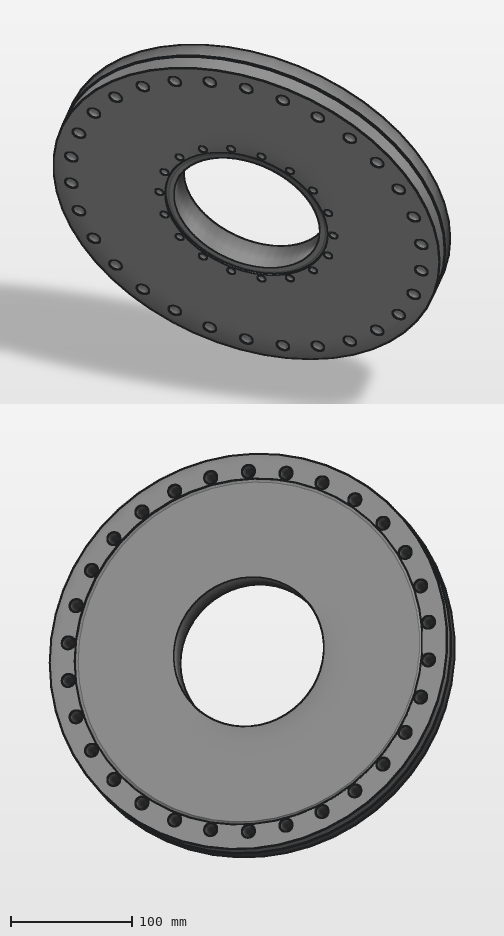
import cadquery as cq
import math

OUTER_DIAMETER = 336.5
THICKNESS = 28.3
BORE_DIAMETER = 127.0
RIM_CHAMFER = 0.5
FRONT_Y = -THICKNESS / 2
BACK_Y = THICKNESS / 2

GROOVE_WIDTH = 1.7
GROOVE_DEPTH = 0.5

FRONT_RECESS_DIAMETER = 141.7
BACK_RECESS_DIAMETER = 294.2
CONE_WIDTH = 2.7
LAND_DEPTH = 1.18
RECESS_DEPTH = 2.0

BOLT_HOLE_CHAMFER = 0.5
TAPPED_HOLE_CHAMFER = 0.5

BOLT_COUNT = 30
BOLT_HOLE_DIAMETER = 10.5
BOLT_CIRCLE_DIAMETER = 306.3

TAPPED_COUNT = 18
TAPPED_HOLE_DIAMETER = 6.7
TAPPED_CIRCLE_DIAMETER = 151.5
TAPPED_HOLE_DEPTH = 13.5
DRILL_POINT_ANGLE = 118.0


def make_disc():
    """Revolve the ring section: rim chamfers, rim groove and both seal recesses."""
    outer_radius = OUTER_DIAMETER / 2
    bore_radius = BORE_DIAMETER / 2
    front_recess_radius = FRONT_RECESS_DIAMETER / 2
    back_recess_radius = BACK_RECESS_DIAMETER / 2
    groove_radius = outer_radius - GROOVE_DEPTH
    section = (
        cq.Workplane("XY")
        .moveTo(bore_radius, FRONT_Y + LAND_DEPTH)
        .lineTo(front_recess_radius - CONE_WIDTH, FRONT_Y + LAND_DEPTH)
        .lineTo(front_recess_radius, FRONT_Y + RECESS_DEPTH)
        .lineTo(front_recess_radius, FRONT_Y)
        .lineTo(outer_radius - RIM_CHAMFER, FRONT_Y)
        .lineTo(outer_radius, FRONT_Y + RIM_CHAMFER)
        .lineTo(outer_radius, -GROOVE_WIDTH / 2)
        .lineTo(groove_radius, -GROOVE_WIDTH / 2)
        .lineTo(groove_radius, GROOVE_WIDTH / 2)
        .lineTo(outer_radius, GROOVE_WIDTH / 2)
        .lineTo(outer_radius, BACK_Y - RIM_CHAMFER)
        .lineTo(outer_radius - RIM_CHAMFER, BACK_Y)
        .lineTo(back_recess_radius, BACK_Y)
        .lineTo(back_recess_radius, BACK_Y - RECESS_DEPTH)
        .lineTo(back_recess_radius - CONE_WIDTH, BACK_Y - LAND_DEPTH)
        .lineTo(bore_radius, BACK_Y - LAND_DEPTH)
        .close()
    )
    return section.revolve(360, (0, 0, 0), (0, 1, 0))


def on_circle(tool, count, circle_diameter, start_angle):
    """Copy a tool lying on the Y axis to equal steps around a circle."""
    placed = cq.Workplane("XY")
    for index in range(count):
        angle = math.radians(start_angle + index * 360 / count)
        x = circle_diameter / 2 * math.cos(angle)
        z = circle_diameter / 2 * math.sin(angle)
        placed = placed.add(tool.translate((x, 0, z)))
    return placed.combine(glue=True)


def bolt_hole_tool():
    """Cylinder through the full thickness, widened by the chamfer at both faces."""
    radius = BOLT_HOLE_DIAMETER / 2
    return (
        cq.Workplane("XY")
        .moveTo(0, FRONT_Y)
        .lineTo(radius + BOLT_HOLE_CHAMFER, FRONT_Y)
        .lineTo(radius, FRONT_Y + BOLT_HOLE_CHAMFER)
        .lineTo(radius, BACK_Y - BOLT_HOLE_CHAMFER)
        .lineTo(radius + BOLT_HOLE_CHAMFER, BACK_Y)
        .lineTo(0, BACK_Y)
        .close()
        .revolve(360, (0, 0, 0), (0, 1, 0))
    )


def tapped_hole_tool():
    """Chamfered drill shape entering from the front face."""
    radius = TAPPED_HOLE_DIAMETER / 2
    point_length = radius / math.tan(math.radians(DRILL_POINT_ANGLE / 2))
    shoulder_y = FRONT_Y + TAPPED_HOLE_DEPTH
    return (
        cq.Workplane("XY")
        .moveTo(0, FRONT_Y)
        .lineTo(radius + TAPPED_HOLE_CHAMFER, FRONT_Y)
        .lineTo(radius, FRONT_Y + TAPPED_HOLE_CHAMFER)
        .lineTo(radius, shoulder_y)
        .lineTo(0, shoulder_y + point_length)
        .close()
        .revolve(360, (0, 0, 0), (0, 1, 0))
    )


bolt_holes = on_circle(bolt_hole_tool(), BOLT_COUNT, BOLT_CIRCLE_DIAMETER, 90)
tapped_holes = on_circle(tapped_hole_tool(), TAPPED_COUNT, TAPPED_CIRCLE_DIAMETER, 0)
result = make_disc().cut(bolt_holes).cut(tapped_holes)